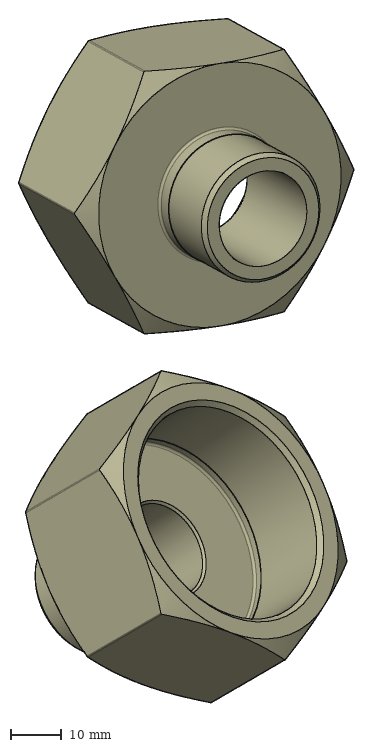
import cadquery as cq
import math

total_length = 46.0
hex_length = 28.0
across_flats = 54.0
across_corners = across_flats / math.cos(math.radians(30))
hex_edge_radius = 0.3
corner_chamfer_angle = 30.0

spigot_diameter = 26.44
spigot_collar_diameter = 26.64
spigot_collar_length = 3.5
spigot_chamfer_length = 1.0
spigot_chamfer_depth = 0.8

socket_diameter = 44.84
socket_mouth_diameter = 46.8
socket_depth = 20.55
socket_relief_diameter = 45.05
socket_relief_length = 2.0

root_radius = 0.5
root_diagonal = root_radius * math.sqrt(0.5)

bore_diameter = 19.5
bore_chamfer = 0.5


def revolve_about_x(profile):
    """Turn a closed (X, radius) profile around the X axis."""
    return profile.close().revolve(360, (0, 0, 0), (1, 0, 0))


def make_hexagon():
    """Hexagon with flats facing +Z and -Z, its corners turned down on both ends."""
    prism = cq.Workplane("YZ").polygon(6, across_corners).extrude(hex_length)
    prism = prism.edges("|X").fillet(hex_edge_radius)

    face_radius = across_flats / 2
    corner_radius = across_corners / 2
    turned_length = (corner_radius - face_radius) * math.tan(math.radians(corner_chamfer_angle))
    turned_envelope = revolve_about_x(
        cq.Workplane("XY")
        .lineTo(0, face_radius)
        .lineTo(turned_length, corner_radius)
        .lineTo(hex_length - turned_length, corner_radius)
        .lineTo(hex_length, face_radius)
        .lineTo(hex_length, 0)
    )
    return prism.intersect(turned_envelope)


def make_spigot():
    """Spigot with a rounded root, a collar and a chamfered end."""
    radius = spigot_diameter / 2
    collar_radius = spigot_collar_diameter / 2
    collar_end = hex_length + spigot_collar_length
    root_x = hex_length + root_radius
    root_top = collar_radius + root_radius
    overlap_start = (socket_depth + hex_length) / 2
    return revolve_about_x(
        cq.Workplane("XY")
        .moveTo(overlap_start, 0)
        .lineTo(overlap_start, root_top)
        .lineTo(hex_length, root_top)
        .threePointArc(
            (root_x - root_diagonal, root_top - root_diagonal),
            (root_x, collar_radius),
        )
        .lineTo(collar_end, collar_radius)
        .lineTo(collar_end, radius)
        .lineTo(total_length - spigot_chamfer_length, radius)
        .lineTo(total_length, radius - spigot_chamfer_depth)
        .lineTo(total_length, 0)
    )


def make_cavity():
    """Socket, its relief groove with a rounded floor edge, and the through bore."""
    mouth_radius = socket_mouth_diameter / 2
    radius = socket_diameter / 2
    relief_radius = socket_relief_diameter / 2
    relief_start = socket_depth - socket_relief_length
    bore_radius = bore_diameter / 2
    root_x = socket_depth - root_radius
    root_edge = relief_radius - root_radius
    return revolve_about_x(
        cq.Workplane("XY")
        .lineTo(0, mouth_radius)
        .lineTo(mouth_radius - radius, radius)
        .lineTo(relief_start, radius)
        .lineTo(relief_start, relief_radius)
        .lineTo(root_x, relief_radius)
        .threePointArc(
            (root_x + root_diagonal, root_edge + root_diagonal),
            (socket_depth, root_edge),
        )
        .lineTo(socket_depth, bore_radius + bore_chamfer)
        .lineTo(socket_depth + bore_chamfer, bore_radius)
        .lineTo(total_length, bore_radius)
        .lineTo(total_length, 0)
    )


result = make_hexagon().union(make_spigot()).cut(make_cavity())